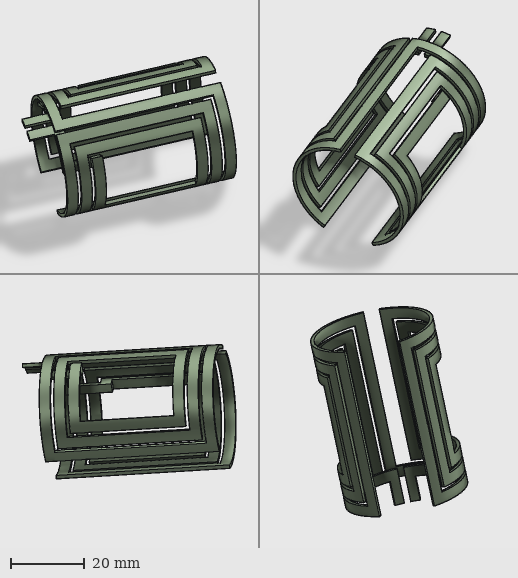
import cadquery as cq
import math

outer_radius = 17.0
strip_thickness = 1.0
coil_length = 48.0
lead_length = 7.0
ring_width = 3.0
ring_pitch = 4.0
leg_angle = 10.7
leg_pitch = 14.4
turns = 3
left_start, left_end = -7.3, -152.9
right_start, right_end = 8.1, 153.7
left_lead_edge = 1.1

coil_layer = outer_radius
pad_layer = coil_layer - strip_thickness
lead_layer = pad_layer - strip_thickness


def patch(layer_radius, angle_a, angle_b, y_min, y_max):
    """Curved strip between two angles and two Y positions in one layer."""
    start, end = min(angle_a, angle_b), max(angle_a, angle_b)
    inner_radius = layer_radius - strip_thickness

    def point(radius, angle):
        a = math.radians(angle)
        return radius * math.sin(a), radius * math.cos(a)

    middle = (start + end) / 2
    return (
        cq.Workplane("XZ", origin=(0, y_max, 0))
        .moveTo(*point(layer_radius, start))
        .threePointArc(point(layer_radius, middle), point(layer_radius, end))
        .lineTo(*point(inner_radius, end))
        .threePointArc(point(inner_radius, middle), point(inner_radius, start))
        .close()
        .extrude(y_max - y_min)
    )


def front(turn):
    """Front edge of the front ring of a turn; turn 0 is the outermost."""
    return turn * ring_pitch


def back(turn):
    """Back edge of the back ring of a turn."""
    return coil_length - turn * ring_pitch


left_leg_end = front(turns)


def front_ring(turn, angle_a, angle_b):
    return patch(coil_layer, angle_a, angle_b, front(turn), front(turn) + ring_width)


def shared_turns(start, end, side):
    """Lower legs and back rings, nested alike in both coils."""
    strips = []
    for turn in range(turns):
        upper = start + side * turn * leg_pitch
        lower = end - side * turn * leg_pitch
        strips.append(patch(coil_layer, lower - side * leg_angle, lower, front(turn), back(turn)))
        strips.append(patch(coil_layer, upper, lower, back(turn) - ring_width, back(turn)))
    return strips


def right_coil():
    """Each front ring steps inward to the next upper leg."""
    strips = shared_turns(right_start, right_end, 1)
    for turn in range(turns):
        upper = right_start + turn * leg_pitch
        leg_front = front(max(turn - 1, 0))
        strips.append(patch(coil_layer, upper, upper + leg_angle, leg_front, back(turn)))
        strips.append(front_ring(turn, upper + leg_pitch, right_end - turn * leg_pitch))
    return strips


def left_coil():
    """The outermost front ring crosses the top to the first right leg."""
    strips = shared_turns(left_start, left_end, -1)
    strips.append(front_ring(0, left_end, right_start + leg_angle))
    for turn in range(turns):
        upper = left_start - turn * leg_pitch
        innermost = turn == turns - 1
        leg_front = left_leg_end if innermost else front(turn + 1)
        strips.append(patch(coil_layer, upper, upper - leg_angle, leg_front, back(turn)))
        if not innermost:
            strips.append(front_ring(turn + 1, upper, left_end + (turn + 1) * leg_pitch))
    return strips


def lead(leg_start, leg_end, pad_front, lead_start, lead_end):
    """Pad under a coil end, inner leg to the front, crossover and lead."""
    pad_back = pad_front + ring_width
    return [
        patch(pad_layer, leg_start, leg_end, pad_front, pad_back),
        patch(lead_layer, leg_start, leg_end, 0, pad_back),
        patch(lead_layer, lead_start, leg_end, 0, ring_width),
        patch(lead_layer, lead_start, lead_end, -lead_length, ring_width),
    ]


left_leg = left_start - (turns - 1) * leg_pitch
right_leg = right_start + turns * leg_pitch

strips = right_coil() + left_coil()
strips += lead(left_leg, left_leg - leg_angle, left_leg_end, left_lead_edge, left_lead_edge - leg_angle)
strips += lead(right_leg, right_leg + leg_angle, front(turns - 1), right_start, right_start + leg_angle)

result = strips[0]
for strip in strips[1:]:
    result = result.union(strip, clean=False)
result = result.clean()